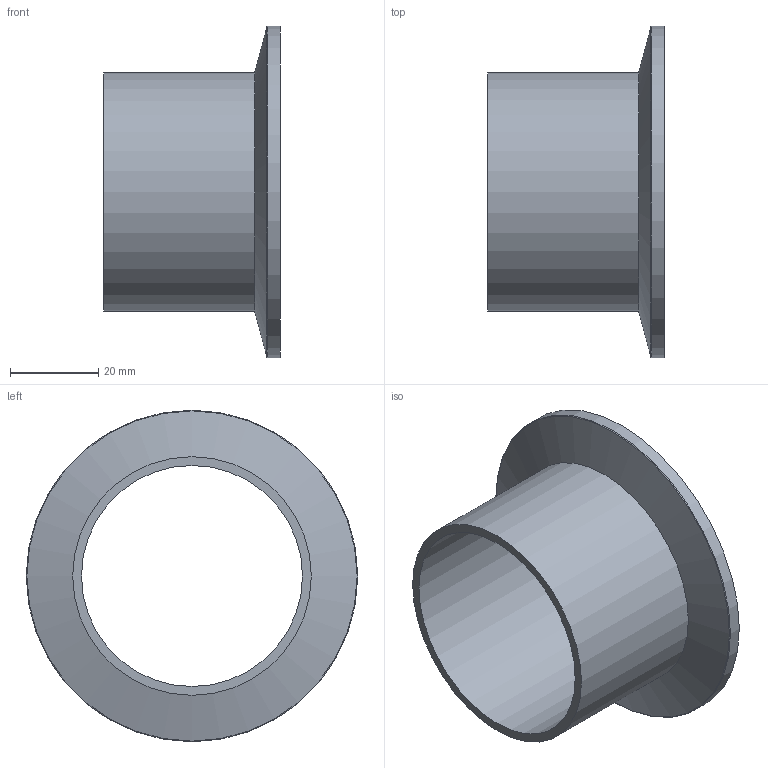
import cadquery as cq
import math

total_length = 40.0
flange_diameter = 75.0
tube_outer_diameter = 54.0
bore_diameter = 50.0

rim_thickness = 3.0
rim_edge_radius = 0.2
cone_angle = math.radians(15)

flange_radius = flange_diameter / 2
tube_radius = tube_outer_diameter / 2
bore_radius = bore_diameter / 2
cone_depth = (flange_radius - tube_radius) * math.tan(cone_angle)
rim_start = total_length - rim_thickness
cone_start = rim_start - cone_depth

cone_normal_angle = math.pi - cone_angle
rim_normal_angle = math.pi / 2
rounding_sweep = cone_normal_angle - rim_normal_angle
rounding_center_x = rim_start + rim_edge_radius * math.tan(rounding_sweep / 2)
rounding_center_y = flange_radius - rim_edge_radius


def rounding_point(angle):
    """Point on the rim edge rounding, with the angle measured from +X."""
    return (
        rounding_center_x + rim_edge_radius * math.cos(angle),
        rounding_center_y + rim_edge_radius * math.sin(angle),
    )


def make_flanged_tube():
    """Revolve the wall section about the X axis, with the open tube end at X = 0."""
    rounding_middle_angle = (cone_normal_angle + rim_normal_angle) / 2
    section = (
        cq.Workplane("XY")
        .moveTo(0, bore_radius)
        .lineTo(0, tube_radius)
        .lineTo(cone_start, tube_radius)
        .lineTo(*rounding_point(cone_normal_angle))
        .threePointArc(rounding_point(rounding_middle_angle), rounding_point(rim_normal_angle))
        .lineTo(total_length, flange_radius)
        .lineTo(total_length, bore_radius)
        .close()
    )
    return section.revolve(360, (0, 0, 0), (1, 0, 0))


result = make_flanged_tube()